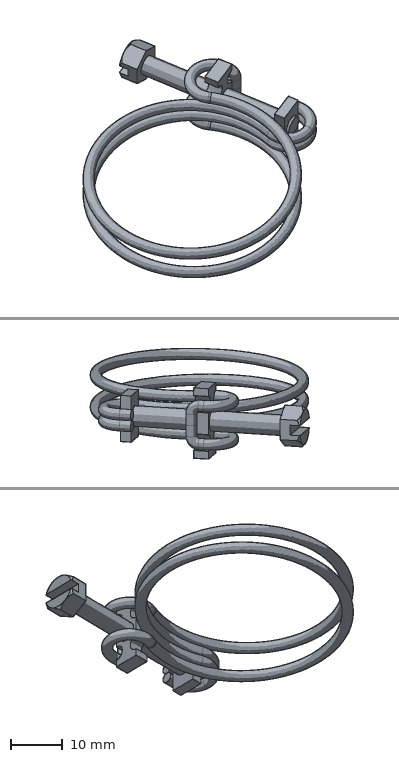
import cadquery as cq
import math


wire_dia = 2.17
wire_rad = wire_dia / 2
ring_rad = 20.0
outer_z = 3.8
inner_z = wire_rad

hook_rad = 4.35
hook_x = 8.4
hook_y = math.sqrt((ring_rad + hook_rad) ** 2 - hook_x ** 2)
joint_angle = math.degrees(math.atan2(hook_x, hook_y))
hook_sweep = 180 + joint_angle
hook_top_y = hook_y + hook_rad
hook_tail = 2.25

loop_lead = 0.45
lead_angle = math.degrees(loop_lead / ring_rad)
bend_rad = 1.6
post_x = -5.8

screw_y = 23.35
shank_dia = 4.0
shank_end_x = 9.35
head_x = -27.4
head_len = 4.0
head_flats = 7.0
head_chamfer = 0.6
slot_width = 2.0
slot_depth = 2.0

block_width = 5.45
bridge_x = -7.35
bridge_thick = 2.95
bridge_height = 14.0
groove_rad = 1.65
nut_x = 7.7
nut_thick = 2.17
nut_height = 9.2


def ring_point(angle, z):
    """Point on the ring at an angle from +Y (positive toward +X)."""
    a = math.radians(angle)
    return cq.Vector(ring_rad * math.sin(a), ring_rad * math.cos(a), z)


def ring_tangent(angle):
    """Horizontal ring direction, toward +X, at an angle from +Y."""
    a = math.radians(angle)
    return cq.Vector(math.cos(a), -math.sin(a), 0)


def round_wire(path, direction):
    """Round wire swept along one edge, starting in the given direction."""
    start = cq.Plane(origin=path.startPoint(), normal=direction)
    spine = cq.Workplane(obj=cq.Wire.assembleEdges([path]))
    return cq.Workplane(start).circle(wire_rad).sweep(spine, isFrenet=True).val()


def swept_chain(edges):
    """Wire made of consecutive edges, joined into one solid."""
    pieces = [round_wire(edge, edge.tangentAt(0)) for edge in edges]
    return pieces[0].fuse(*pieces[1:]).Solids()[0]


def hook_point(side, angle, z):
    """Point on a hook; the angle runs from the +Y end outward (side: -1 left, +1 right)."""
    a = math.radians(angle)
    return cq.Vector(side * (hook_x + hook_rad * math.sin(a)), hook_y + hook_rad * math.cos(a), z)


def hook_arc(side, start, end, z):
    """Part of a hook between two hook angles."""
    middle = (start + end) / 2
    return cq.Edge.makeThreePointArc(*(hook_point(side, angle, z) for angle in (start, middle, end)))


def make_ring_wire(is_lower):
    """Wire that runs a turn and a bit around the ring, then hooks behind the nut block.

    It is shaped above the XY plane; the lower wire is its mirror image.
    """
    turn = 360 + 2 * joint_angle - lead_angle
    rise = outer_z - inner_z
    helix = cq.Wire.makeHelix(rise * 360 / turn, rise, ring_rad)
    helix = helix.rotate(cq.Vector(), cq.Vector(0, 0, 1), 90 - joint_angle)
    helix = helix.translate(cq.Vector(0, 0, inner_z)).Edges()[0]
    ring = round_wire(helix, ring_tangent(joint_angle) * -1)

    arc_start = hook_point(1, 0, inner_z)
    tail = cq.Edge.makeLine(arc_start - cq.Vector(hook_tail, 0, 0), arc_start)
    hook = swept_chain([tail, hook_arc(1, 0, 90, inner_z), hook_arc(1, 90, hook_sweep, inner_z)])
    wire = cq.Workplane(obj=ring.fuse(hook).Solids()[0])
    return wire.mirror("XY") if is_lower else wire


def make_loop():
    """Upper and lower hook joined by a post behind the bridge block."""
    lead_angles = (lead_angle - joint_angle, lead_angle / 2 - joint_angle, -joint_angle)
    lead = cq.Edge.makeThreePointArc(*(ring_point(angle, outer_z) for angle in lead_angles))
    hook = hook_arc(-1, hook_sweep, 0, outer_z)

    bend_start = cq.Vector(post_x - bend_rad, hook_top_y, outer_z)
    bend_end = cq.Vector(post_x, hook_top_y, outer_z - bend_rad)
    straight = cq.Edge.makeLine(hook_point(-1, 0, outer_z), bend_start)
    bend = cq.Edge.makeTangentArc(bend_start, cq.Vector(1, 0, 0), bend_end)
    post = cq.Edge.makeLine(bend_end, cq.Vector(post_x, hook_top_y, 0))

    half = swept_chain([lead, hook, straight, bend, post])
    return cq.Workplane(obj=half.fuse(half.mirror("XY")).Solids()[0])


def along_screw(x):
    """Work plane across the screw at x, its local x along -Y and local y along -Z."""
    return cq.Workplane(cq.Plane(origin=(x, screw_y, 0), xDir=(0, -1, 0), normal=(1, 0, 0)))


def make_screw():
    """Slotted hexagon screw with a conical chamfer on the head."""
    corner_dia = head_flats / math.cos(math.pi / 6)
    head = along_screw(head_x).transformed(rotate=(0, 0, 90)).polygon(6, corner_dia).extrude(head_len)
    chamfer_cone = (
        along_screw(head_x).circle(head_flats / 2)
        .workplane(offset=head_chamfer).circle(corner_dia / 2).loft()
    )
    behind_chamfer = along_screw(head_x + head_chamfer).circle(corner_dia).extrude(head_len - head_chamfer)
    envelope = chamfer_cone.union(behind_chamfer)
    slot = along_screw(head_x).rect(corner_dia, slot_width).extrude(slot_depth)
    shank_start_x = head_x + head_len
    shank = along_screw(shank_start_x).circle(shank_dia / 2).extrude(shank_end_x - shank_start_x)
    return head.intersect(envelope).cut(slot).union(shank)


def make_block(x, thickness, height):
    """Rectangular block centred at x with the hole for the screw."""
    return (
        along_screw(x - thickness / 2)
        .rect(block_width, height).circle(shank_dia / 2).extrude(thickness)
    )


def make_bridge():
    """Block with four round side grooves, which leave a T-shaped head at each end."""
    side = block_width / 2
    grooves = (
        along_screw(bridge_x - bridge_thick / 2)
        .pushPoints([(y, z) for y in (-side, side) for z in (-outer_z, outer_z)])
        .circle(groove_rad).extrude(bridge_thick)
    )
    return make_block(bridge_x, bridge_thick, bridge_height).cut(grooves)


screw = make_screw()
bridge = make_bridge()
nut = make_block(nut_x, nut_thick, nut_height)
loop = make_loop()
ring_wires = [make_ring_wire(is_lower) for is_lower in (False, True)]

result = cq.Compound.makeCompound(
    [screw.val(), bridge.val(), nut.val(), loop.val()] + [wire.val() for wire in ring_wires]
)